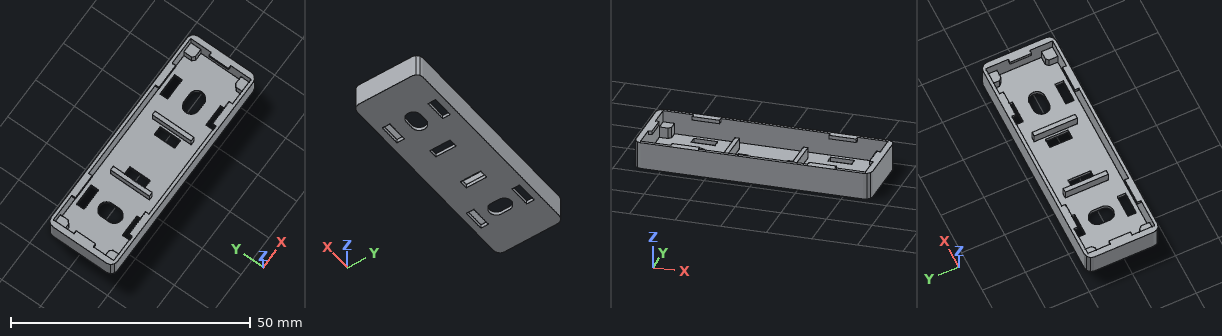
import cadquery as cq
import math

LENGTH = 52.0
WIDTH = 17.0
HEIGHT = 6.0
CORNER_RADIUS = 1.6
CORNER_FACETS = 3
FLOOR_THICKNESS = 1.0
END_WALL = 1.35
SIDE_WALL = 0.75
CAVITY_LENGTH = LENGTH - 2 * END_WALL
CAVITY_WIDTH = WIDTH - 2 * SIDE_WALL

TAB_THICKNESS = 0.8
SIDE_TAB_LENGTH = 6.0
SIDE_TAB_REACH = 0.9
END_TAB_LENGTH = 5.0
END_TAB_REACH = 0.8

STATION_X = 15.0
OPENING_LENGTH = 5.2
SIDE_OPENING_WIDTH = 1.9
SIDE_OPENING_OUTER_Y = CAVITY_WIDTH / 2 - SIDE_TAB_REACH
SLOT_LENGTH = 5.6
SLOT_WIDTH = 3.6
CENTRE_OPENING_WIDTH = 2.1
CENTRE_OPENING_X = 5.45

RIB_THICKNESS = 1.0
RIB_LENGTH = 10.0
RIB_HEIGHT = 2.4
RIB_X = 7.5
POST_LENGTH = 2.5
POST_WIDTH = 2.6
POST_HEIGHT = 2.4
POST_CHAMFER = 0.6

SIDES = (-1, 1)


def block(length, width, height, x, y, bottom):
    """Box centred on (x, y) with its underside at the height `bottom`."""
    box = cq.Workplane("XY").box(length, width, height, centered=(True, True, False))
    return box.translate((x, y, bottom))


def faceted_outline():
    """Rectangle whose corners are turned by equal flat facets inscribed in the corner radius."""
    centre_x = LENGTH / 2 - CORNER_RADIUS
    centre_y = WIDTH / 2 - CORNER_RADIUS
    points = []
    for quarter, (sx, sy) in enumerate(((1, 1), (-1, 1), (-1, -1), (1, -1))):
        for step in range(CORNER_FACETS + 1):
            angle = math.pi / 2 * (quarter + step / CORNER_FACETS)
            x = sx * centre_x + CORNER_RADIUS * math.cos(angle)
            y = sy * centre_y + CORNER_RADIUS * math.sin(angle)
            points.append((x, y))
    return points


def make_tray():
    shell = cq.Workplane("XY").polyline(faceted_outline()).close().extrude(HEIGHT)
    cavity = block(CAVITY_LENGTH, CAVITY_WIDTH, HEIGHT, 0, 0, FLOOR_THICKNESS)
    return shell.cut(cavity)


def add_tabs(body):
    """Rim tabs; each is rooted through the wall's thickness."""
    bottom = HEIGHT - TAB_THICKNESS
    side_width = SIDE_WALL + SIDE_TAB_REACH
    side_y = (WIDTH - side_width) / 2
    end_length = END_WALL + END_TAB_REACH
    end_x = (LENGTH - end_length) / 2
    for sx in SIDES:
        body = body.union(block(end_length, END_TAB_LENGTH, TAB_THICKNESS, sx * end_x, 0, bottom))
        for sy in SIDES:
            tab = block(SIDE_TAB_LENGTH, side_width, TAB_THICKNESS, sx * STATION_X, sy * side_y, bottom)
            body = body.union(tab)
    return body


def add_ribs(body):
    for sx in SIDES:
        body = body.union(block(RIB_THICKNESS, RIB_LENGTH, RIB_HEIGHT, sx * RIB_X, 0, FLOOR_THICKNESS))
    return body


def add_corner_posts(body):
    """One post per cavity corner, chamfered on the edge facing the middle."""
    x = (CAVITY_LENGTH - POST_LENGTH) / 2
    y = (CAVITY_WIDTH - POST_WIDTH) / 2
    for sx in SIDES:
        for sy in SIDES:
            post = block(POST_LENGTH, POST_WIDTH, POST_HEIGHT, sx * x, sy * y, FLOOR_THICKNESS)
            inner_edge = "|Z and {}X and {}Y".format("<" if sx > 0 else ">", "<" if sy > 0 else ">")
            body = body.union(post.edges(inner_edge).chamfer(POST_CHAMFER))
    return body


def cut_floor_openings(body):
    side_y = SIDE_OPENING_OUTER_Y - SIDE_OPENING_WIDTH / 2
    for sx in SIDES:
        centre_x = sx * CENTRE_OPENING_X
        body = body.cut(block(CENTRE_OPENING_WIDTH, OPENING_LENGTH, FLOOR_THICKNESS, centre_x, 0, 0))
        for sy in SIDES:
            x = sx * STATION_X
            body = body.cut(block(OPENING_LENGTH, SIDE_OPENING_WIDTH, FLOOR_THICKNESS, x, sy * side_y, 0))
    return body


def cut_screw_slots(body):
    """Mounting slots: the left one runs along Y, the right one along X."""
    for x, angle in ((-STATION_X, 90), (STATION_X, 0)):
        slot = cq.Workplane("XY").center(x, 0).slot2D(SLOT_LENGTH, SLOT_WIDTH, angle)
        body = body.cut(slot.extrude(FLOOR_THICKNESS))
    return body


tray = make_tray()
tray = add_tabs(tray)
tray = add_ribs(tray)
tray = add_corner_posts(tray)
tray = cut_floor_openings(tray)
result = cut_screw_slots(tray)